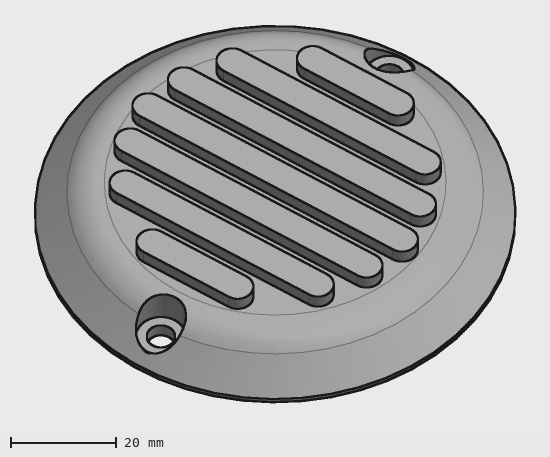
import cadquery as cq
import math

base_radius = 45.5
base_height = 10.0
rim_height = 1.0
shoulder_radius = 10.0
slope = math.radians(45)

rib_height = 3.0
rib_width = 6.0
rib_pitch = 9.0
rib_lengths = [64.1, 60.1, 50.05, 25.5]

hole_diameter = 5.4
counterbore_diameter = 9.5
counterbore_floor = 3.0
hole_offset = 38.5


def make_base():
    """Revolve a rim, a conical flank and a rounded shoulder tangent to both flank and top."""
    tangent_z = base_height - shoulder_radius * (1 - math.cos(slope))
    tangent_r = base_radius - (tangent_z - rim_height) / math.tan(slope)
    flat_radius = tangent_r - shoulder_radius * math.sin(slope)
    arc_middle = (
        flat_radius + shoulder_radius * math.sin(slope / 2),
        base_height - shoulder_radius * (1 - math.cos(slope / 2)),
    )
    return (
        cq.Workplane("XZ")
        .lineTo(base_radius, 0)
        .lineTo(base_radius, rim_height)
        .lineTo(tangent_r, tangent_z)
        .threePointArc(arc_middle, (flat_radius, base_height))
        .lineTo(0, base_height)
        .close()
        .revolve(360, (0, 0, 0), (0, 1, 0))
    )


def make_rib(length, y):
    """Round-ended bar standing on the flat top."""
    return (
        cq.Workplane("XY", origin=(0, y, base_height))
        .slot2D(length, rib_width)
        .extrude(rib_height)
    )


def make_screw_hole(y):
    """Cutter for a through hole with a counterbore open to the top."""
    through = cq.Workplane("XY", origin=(0, y, 0)).circle(hole_diameter / 2).extrude(base_height)
    counterbore = (
        cq.Workplane("XY", origin=(0, y, counterbore_floor))
        .circle(counterbore_diameter / 2)
        .extrude(base_height - counterbore_floor)
    )
    return through.union(counterbore)


result = make_base()

outermost = len(rib_lengths) - 1
for position in range(-outermost, outermost + 1):
    result = result.union(make_rib(rib_lengths[abs(position)], position * rib_pitch))

for side in (-1, 1):
    result = result.cut(make_screw_hole(side * hole_offset))